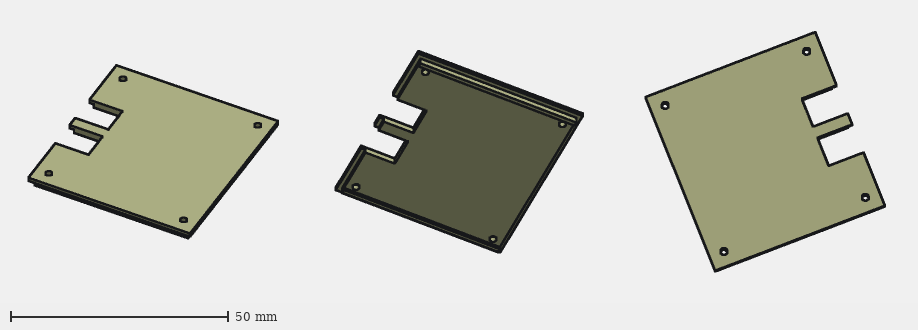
import cadquery as cq

plate_length = 42.0
plate_width = 44.0
plate_thickness = 1.0

step_inset = 1.1
step_thickness = 1.0
step_length = plate_length - 2 * step_inset
step_width = plate_width - 2 * step_inset

rail_width = 1.0
rail_height = 0.8

notch_depth = 8.6
notch_width = 7.1
tongue_width = 2.8

hole_diameter = 1.6
hole_spacing_x = 35.0
hole_spacing_y = 37.0

step_bottom = rail_height
plate_bottom = step_bottom + step_thickness
total_height = plate_bottom + plate_thickness


def block(length, width, height, bottom):
    """Box centred on the Z axis, standing on the given level."""
    box = cq.Workplane("XY").box(length, width, height, centered=(True, True, False))
    return box.translate((0, 0, bottom))


def stepped_plate():
    plate = block(plate_length, plate_width, plate_thickness, plate_bottom)
    step = block(step_length, step_width, step_thickness, step_bottom)
    return plate.union(step)


def rail(side):
    offset_y = side * (step_width - rail_width) / 2
    return block(step_length, rail_width, rail_height, 0).translate((0, offset_y, 0))


def notch(side):
    """Rectangular opening through the full height at the -X edge."""
    center_x = (notch_depth - plate_length) / 2
    center_y = side * (tongue_width + notch_width) / 2
    return block(notch_depth, notch_width, total_height, 0).translate((center_x, center_y, 0))


def screw_holes():
    return (
        cq.Workplane("XY")
        .rarray(hole_spacing_x, hole_spacing_y, 2, 2)
        .circle(hole_diameter / 2)
        .extrude(total_height)
    )


result = stepped_plate()
for side in (-1, 1):
    result = result.union(rail(side))
    result = result.cut(notch(side))
result = result.cut(screw_holes())